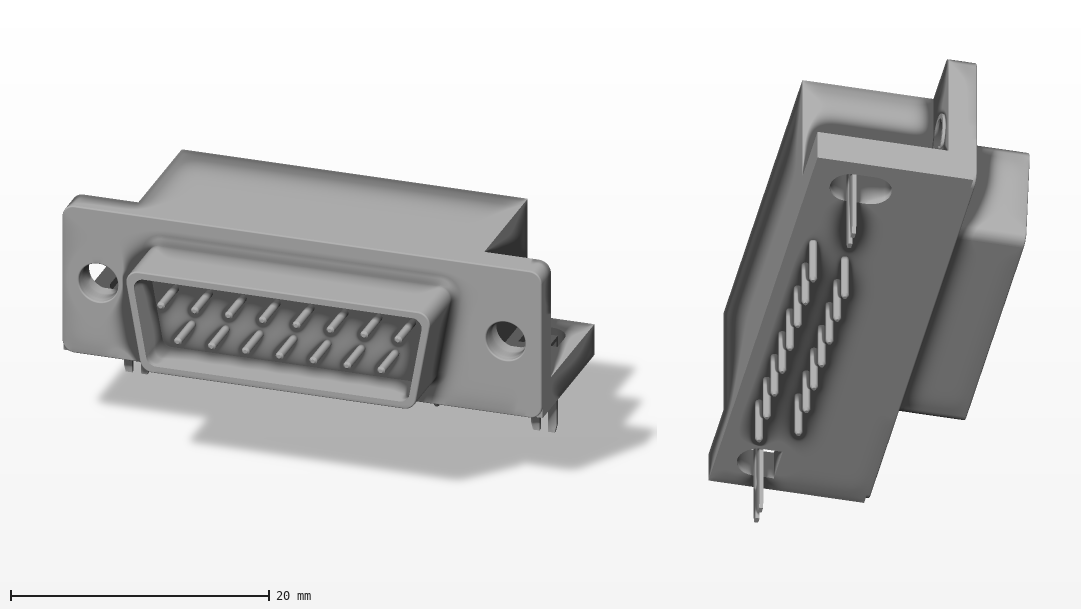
import cadquery as cq
import math


LENGTH = 39.2
HEIGHT = 12.5
DEPTH = 12.65
FLANGE_DEPTH = 2.27
SHEET_THICKNESS = 0.3
SHEET_EDGE_ROUND = 0.1
CORNER_RADIUS = 0.98
FOOT_LENGTH = 5.45
FOOT_HEIGHT = 2.63

MOUNT_X = 16.65
MOUNT_Z = HEIGHT / 2
MOUNT_DIAMETER = 3.2
SLOT_REAR_CENTER_Y = DEPTH - 3.25
SLOT_SPAN = 1.65

SHELL_TOP_HALF = 12.43
SHELL_HEIGHT = 8.43
SHELL_LENGTH = 5.75
SHELL_ANGLE = 10.0
SHELL_RADIUS = 1.0
SHELL_WALL = 0.6
SHELL_FLARE = 0.6
RIM_ROUND = 0.1
CAVITY_DEPTH = 3.85
CAVITY_RADIUS = 0.8

PIN_DIAMETER = 0.63
TOP_ROW_SPAN = 19.4
ROW_SPACING = 2.82
TOP_ROW_COUNT = 8
PIN_PITCH = TOP_ROW_SPAN / (TOP_ROW_COUNT - 1)
PIN_TIP_Y = -5.5
TAIL_LENGTH = 3.95
TAIL_TOP_ROW_Y = DEPTH - 1.85
PIN_CHAMFER = 0.15
TAIL_CHAMFER_HEIGHT = 0.25
PIN_EMBED = 0.8

RING_DIAMETER = 4.0
RING_THICKNESS = 0.25
LOCK_THICKNESS = 0.3
LOCK_WIDTH = 2.08
LOCK_GAP = 0.7
LOCK_UPRIGHT_DEPTH = 0.4
LOCK_UPRIGHT_TOP = 4.63
LOCK_STRAP_TOP = 2.75
LOCK_REAR_Y = DEPTH - 3.18
LOCK_LENGTH = 5.4
LOCK_TIP_TAPER = 0.15
LOCK_TIP_HEIGHT = 0.63


def block(x_range, y_range, z_range):
    """Axis-aligned block between the given limits."""
    spans = [high - low for low, high in (x_range, y_range, z_range)]
    corner = (x_range[0], y_range[0], z_range[0])
    return cq.Workplane("XY").box(*spans, centered=False).translate(corner)


def cylinder_y(x, z, diameter, y_start, y_end):
    """Cylinder along Y."""
    circle = cq.Workplane("XZ", origin=(x, y_start, z)).circle(diameter / 2)
    return circle.extrude(y_start - y_end)


def make_sheet():
    """Metal face plate with its front edges and screw holes rounded over."""
    half = LENGTH / 2
    sheet = block((-half, half), (0, SHEET_THICKNESS), (0, HEIGHT)).edges("|Y").fillet(CORNER_RADIUS)
    for x in (-MOUNT_X, MOUNT_X):
        sheet = sheet.cut(cylinder_y(x, MOUNT_Z, MOUNT_DIAMETER, SHEET_THICKNESS, 0))
    return sheet.faces("<Y").edges().fillet(SHEET_EDGE_ROUND)


def make_housing():
    """Insulator: tall centre block, full-length flange and the two feet."""
    half = LENGTH / 2
    center_half = half - FOOT_LENGTH
    housing = block((-half, half), (SHEET_THICKNESS, FLANGE_DEPTH), (0, HEIGHT))
    housing = housing.edges("|Y and >Z").fillet(CORNER_RADIUS)
    housing = housing.union(block((-center_half, center_half), (SHEET_THICKNESS, DEPTH), (0, HEIGHT)))
    return housing.union(block((-half, half), (SHEET_THICKNESS, DEPTH), (0, FOOT_HEIGHT)))


def make_board_slots():
    """Left slot is round at both ends, right slot is square at its front end."""
    radius = MOUNT_DIAMETER / 2
    front_center_y = SLOT_REAR_CENTER_Y - SLOT_SPAN
    rear_y = SLOT_REAR_CENTER_Y
    slots = cq.Workplane("XY")
    for x in (-MOUNT_X, MOUNT_X):
        slots = slots.union(block((x - radius, x + radius), (front_center_y, rear_y), (0, FOOT_HEIGHT)))
        slots = slots.union(cq.Workplane("XY", origin=(x, rear_y, 0)).circle(radius).extrude(FOOT_HEIGHT))
    front_round = cq.Workplane("XY", origin=(-MOUNT_X, front_center_y, 0)).circle(radius)
    return slots.union(front_round.extrude(FOOT_HEIGHT))


def d_prism(inset, corner_radius, y_start, y_end):
    """D-shaped prism along Y whose outline is the shell outline shrunk by inset."""
    slope = math.radians(SHELL_ANGLE)
    half_height = SHELL_HEIGHT / 2
    corner_gap = SHELL_RADIUS * (math.tan(math.radians(45) + slope / 2) - 1)
    side_mid = SHELL_TOP_HALF + corner_gap - half_height * math.tan(slope) - inset / math.cos(slope)
    reach = half_height - inset
    top = side_mid + reach * math.tan(slope)
    bottom = side_mid - reach * math.tan(slope)
    outline = [(-top, reach), (top, reach), (bottom, -reach), (-bottom, -reach)]
    prism = cq.Workplane("XZ", origin=(0, y_start, MOUNT_Z)).polyline(outline).close()
    return prism.extrude(y_start - y_end).edges("|Y").fillet(corner_radius)


def make_shelled_sheet():
    """Face plate and solid D shell, blended by a concave flare at the root."""
    shell = d_prism(0, SHELL_RADIUS, SHEET_THICKNESS, -SHELL_LENGTH)
    shell = shell.faces("<Y").edges().fillet(RIM_ROUND)
    face = make_sheet().union(shell)
    margin = 2 * SHELL_FLARE
    root_zone = cq.selectors.BoxSelector(
        (-SHELL_TOP_HALF - margin, -SHEET_THICKNESS / 2, MOUNT_Z - SHELL_HEIGHT / 2 - margin),
        (SHELL_TOP_HALF + margin, SHEET_THICKNESS / 2, MOUNT_Z + SHELL_HEIGHT / 2 + margin),
        boundingbox=True,
    )
    return face.edges(root_zone).fillet(SHELL_FLARE)


def make_cavity():
    return d_prism(SHELL_WALL, CAVITY_RADIUS, CAVITY_DEPTH - SHELL_LENGTH, -SHELL_LENGTH)


def contact_positions():
    """X position, Z height of the mating pin and Y position of its tail."""
    for row in range(2):
        count = TOP_ROW_COUNT - row
        z = MOUNT_Z + ROW_SPACING * (0.5 - row)
        tail_y = TAIL_TOP_ROW_Y - ROW_SPACING * row
        for i in range(count):
            yield (i - (count - 1) / 2) * PIN_PITCH, z, tail_y


def make_contact(x, z, tail_y):
    """Mating pin and board tail; both start inside the insulator."""
    pin_start_y = CAVITY_DEPTH - SHELL_LENGTH + PIN_EMBED
    pin = cylinder_y(x, z, PIN_DIAMETER, pin_start_y, PIN_TIP_Y)
    pin = pin.faces("<Y").chamfer(PIN_CHAMFER)
    tail = cq.Workplane("XY", origin=(x, tail_y, PIN_EMBED)).circle(PIN_DIAMETER / 2)
    tail = tail.extrude(-PIN_EMBED - TAIL_LENGTH)
    tail = tail.faces("<Z").chamfer(TAIL_CHAMFER_HEIGHT, PIN_CHAMFER)
    return pin.add(tail)


def make_board_lock(x):
    """Ring behind the flange, upright, strap over the foot and two prongs."""
    half = LOCK_WIDTH / 2
    upright_y = FLANGE_DEPTH + LOCK_UPRIGHT_DEPTH
    strap_bottom = LOCK_STRAP_TOP - LOCK_THICKNESS
    span = (x - half, x + half)
    lock = cylinder_y(x, MOUNT_Z, RING_DIAMETER, FLANGE_DEPTH + RING_THICKNESS, FLANGE_DEPTH)
    lock = lock.union(block(span, (FLANGE_DEPTH, upright_y), (strap_bottom, LOCK_UPRIGHT_TOP)))
    lock = lock.union(block(span, (FLANGE_DEPTH, LOCK_REAR_Y), (strap_bottom, LOCK_STRAP_TOP)))
    taper_z = LOCK_TIP_HEIGHT - LOCK_LENGTH
    for side in (-1, 1):
        outline = [
            (side * LOCK_GAP / 2, strap_bottom),
            (side * half, strap_bottom),
            (side * half, taper_z),
            (side * (half - LOCK_TIP_TAPER), -LOCK_LENGTH),
            (side * LOCK_GAP / 2, -LOCK_LENGTH),
        ]
        prong = cq.Workplane("XZ", origin=(x, LOCK_REAR_Y, 0)).polyline(outline).close()
        lock = lock.union(prong.extrude(LOCK_THICKNESS))
    return lock


result = make_housing().cut(make_board_slots())
for mount_x in (-MOUNT_X, MOUNT_X):
    result = result.union(make_board_lock(mount_x))
    lock_back_y = FLANGE_DEPTH + RING_THICKNESS
    result = result.cut(cylinder_y(mount_x, MOUNT_Z, MOUNT_DIAMETER, lock_back_y, SHEET_THICKNESS))
result = result.union(make_shelled_sheet()).cut(make_cavity())
for position in contact_positions():
    for piece in make_contact(*position).vals():
        result = result.union(cq.Workplane(piece))